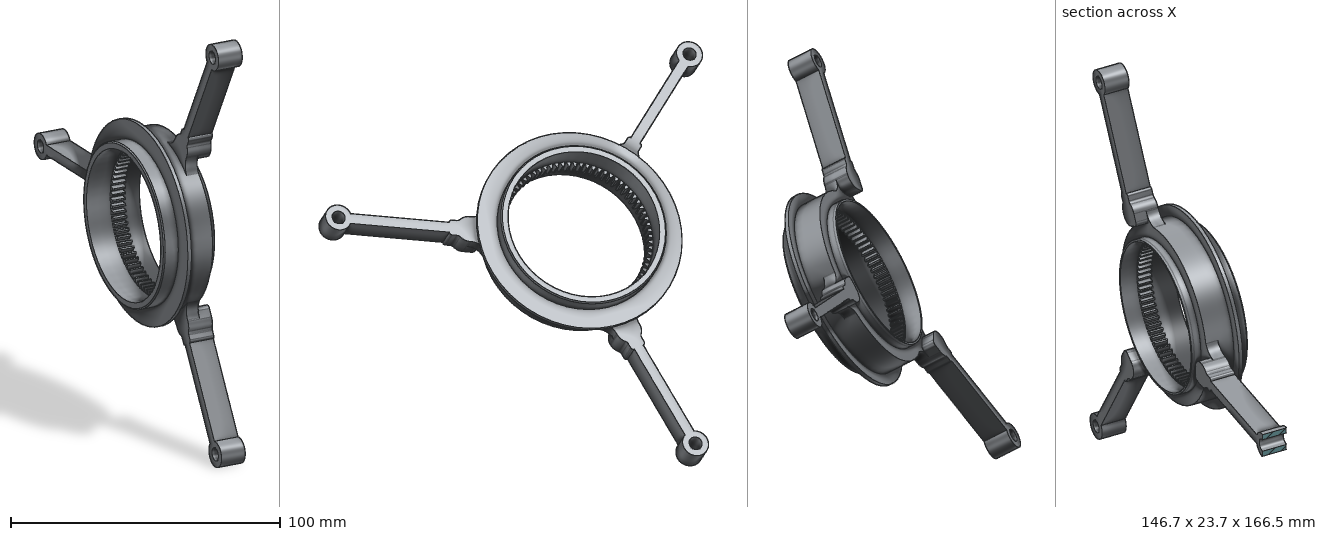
import cadquery as cq
import math


overall_height = 166.5
arm_count = 3
arm_spacing = 360.0 / arm_count
arm_tilt = 0.85
half_spacing = arm_spacing / 2
first_arm_angle = half_spacing + arm_tilt

module = 0.75
tooth_count = 75
tooth_spacing = 360.0 / tooth_count
pressure_angle = math.radians(20.0)
first_tooth_angle = 0.27
pitch_radius = module * tooth_count / 2
tip_radius = pitch_radius - module
root_clearance = module / 4
root_radius = pitch_radius + module + root_clearance
root_overlap = 0.3
gear_front = 10.0
gear_back = 15.5

hub_diameter = 63.5
flange_diameter = 78.5
body_diameter = 70.0
collar_diameter = 60.0
flange_front = 6.0
flange_back = 7.5
body_back = 18.7
collar_back = 22.3
hub_chamfer = 0.5
collar_chamfer_length = 1.0
collar_chamfer_depth = 0.2

arm_back = 23.7
arm_front = 13.7
arm_width = 4.0
eye_diameter = 10.0
eye_hole_diameter = 5.0
eye_reach = (overall_height - eye_diameter) / (
    2 * math.sin(math.radians(half_spacing)) * math.cos(math.radians(arm_tilt))
)

knob_radius = 5.0
knob_reach = 40.3
step_width = 6.0
step_reach = 48.0
step_round = (step_width - arm_width) / 2
small_round = 1.75
neck_reach = 39.8
neck_flare = 6.7


def profile_plane(front):
    """Sketch plane facing the front at the given depth."""
    return cq.Workplane("XZ", origin=(0, front, 0))


def disc(diameter, front, back, reach=0):
    """Round plate between two depths, centred on X = reach."""
    return profile_plane(front).center(reach, 0).circle(diameter / 2).extrude(front - back)


def turned(solid, angle):
    """Turn a solid counterclockwise about the ring axis, as seen from the front."""
    return solid.rotate((0, 0, 0), (0, -1, 0), angle)


def arc_middle(centre, radius, start, end):
    """Middle point of the shorter arc between two points on a circle."""
    x = (start[0] + end[0]) / 2 - centre[0]
    z = (start[1] + end[1]) / 2 - centre[1]
    scale = radius / math.hypot(x, z)
    return (centre[0] + x * scale, centre[1] + z * scale)


def mirrored(point):
    return (point[0], -point[1])


def make_ring():
    hub = disc(hub_diameter, 0, flange_front).faces("<Y").edges().chamfer(hub_chamfer)
    flange = disc(flange_diameter, flange_front, flange_back)
    body = disc(body_diameter, flange_front, body_back)
    collar = disc(collar_diameter, body_back, collar_back)
    collar = collar.faces(">Y").edges().chamfer(collar_chamfer_length, collar_chamfer_depth)
    ring = hub.union(flange).union(body).union(collar)
    return ring.cut(disc(2 * root_radius, 0, collar_back))


def make_tooth():
    """One straight-flanked tooth pointing inward from the +X side of the bore."""
    def half_width(radius):
        return math.pi * module / 4 + (radius - pitch_radius) * math.tan(pressure_angle)

    base_radius = root_radius + root_overlap
    tip = (tip_radius, half_width(tip_radius))
    root = (root_radius, half_width(root_radius))
    base = (base_radius, half_width(root_radius))
    outline = [tip, root, base, mirrored(base), mirrored(root), mirrored(tip)]
    return profile_plane(gear_front).polyline(outline).close().extrude(gear_front - gear_back)


def make_bar():
    """Straight bar with the drilled eye at its end, along +X."""
    length = eye_reach - knob_reach
    plane = profile_plane(arm_front).center(knob_reach + length / 2, 0)
    bar = plane.rect(length, arm_width).extrude(arm_front - arm_back)
    eye = disc(eye_diameter, arm_front, arm_back, eye_reach)
    hole = disc(eye_hole_diameter, arm_front, arm_back, eye_reach)
    return bar.union(eye).cut(hole)


def make_knob():
    """Full-depth hook: rounded step, hollow, round shoulder and blunt inner end."""
    half_step = step_width / 2
    knob_centre = (knob_reach, 0)
    hollow_z = half_step + small_round
    hollow_x = knob_reach + math.sqrt((knob_radius + small_round) ** 2 - hollow_z ** 2)
    hollow_centre = (hollow_x, hollow_z)

    step_start = (step_reach, half_step - step_round)
    step_end = (step_reach - step_round, half_step)
    step_middle = arc_middle((step_end[0], step_start[1]), step_round, step_start, step_end)
    hollow_start = (hollow_x, half_step)
    shoulder_share = knob_radius / (knob_radius + small_round)
    shoulder_start = (
        knob_reach + (hollow_x - knob_reach) * shoulder_share,
        hollow_z * shoulder_share,
    )
    hollow_middle = arc_middle(hollow_centre, small_round, hollow_start, shoulder_start)
    shoulder_end = (knob_reach, knob_radius)
    shoulder_middle = arc_middle(knob_centre, knob_radius, shoulder_start, shoulder_end)

    inner_x = knob_reach - knob_radius
    corner_centre = (inner_x + small_round, knob_radius - small_round)
    corner_start = (corner_centre[0], knob_radius)
    corner_end = (inner_x, corner_centre[1])
    corner_middle = arc_middle(corner_centre, small_round, corner_start, corner_end)
    wide_round = neck_reach - inner_x
    wide_centre = (neck_reach, wide_round - knob_radius)
    wide_start = (inner_x, wide_centre[1])
    wide_end = (neck_reach, -knob_radius)
    wide_middle = arc_middle(wide_centre, wide_round, wide_start, wide_end)

    outline = (
        profile_plane(arm_front)
        .moveTo(*step_start)
        .threePointArc(step_middle, step_end)
        .lineTo(*hollow_start)
        .threePointArc(hollow_middle, shoulder_start)
        .threePointArc(shoulder_middle, shoulder_end)
        .lineTo(*corner_start)
        .threePointArc(corner_middle, corner_end)
        .lineTo(*wide_start)
        .threePointArc(wide_middle, wide_end)
        .lineTo(*mirrored(shoulder_end))
        .threePointArc(mirrored(shoulder_middle), mirrored(shoulder_start))
        .threePointArc(mirrored(hollow_middle), mirrored(hollow_start))
        .lineTo(*mirrored(step_end))
        .threePointArc(mirrored(step_middle), mirrored(step_start))
        .close()
    )
    return outline.extrude(arm_front - arm_back)


def make_neck():
    """Flared web from the knob to the ring, flush with the back of the ring body."""
    flare_centre = (neck_reach, knob_radius + neck_flare)
    flare_distance = math.hypot(*flare_centre)
    end_share = (flare_distance - neck_flare) / flare_distance
    knob_side = (knob_reach, knob_radius)
    flare_start = (neck_reach, knob_radius)
    flare_end = (flare_centre[0] * end_share, flare_centre[1] * end_share)
    flare_middle = arc_middle(flare_centre, neck_flare, flare_start, flare_end)

    outline = (
        profile_plane(arm_front)
        .moveTo(*knob_side)
        .lineTo(*flare_start)
        .threePointArc(flare_middle, flare_end)
        .lineTo(*mirrored(flare_end))
        .threePointArc(mirrored(flare_middle), mirrored(flare_start))
        .lineTo(*mirrored(knob_side))
        .close()
    )
    return outline.extrude(arm_front - body_back)


result = make_ring()

arm = make_bar().union(make_knob()).union(make_neck())
for index in range(arm_count):
    result = result.union(turned(arm, first_arm_angle + index * arm_spacing))

tooth = make_tooth()
teeth = cq.Workplane("XZ")
for index in range(tooth_count):
    teeth = teeth.add(turned(tooth, first_tooth_angle + index * tooth_spacing))
result = result.union(teeth.combine())